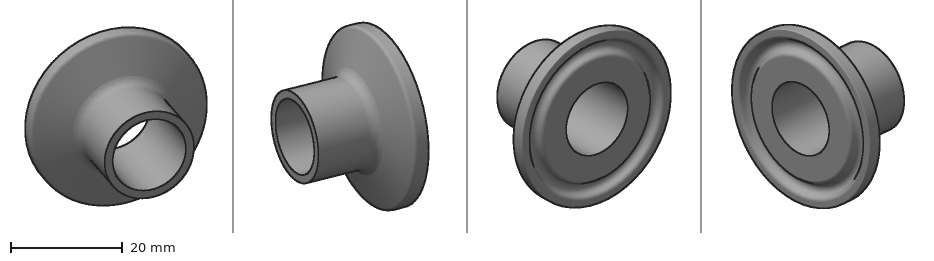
import cadquery as cq
import math

length = 18.0
flange_radius = 17.0
tube_radius = 8.57
bore_radius = 7.0

back_corner_x = 2.82
back_angle = math.radians(20)
rim_front_round = 0.2
rim_back_round = 0.75
neck_round = 1.97

groove_radius = 13.75
groove_half_width = 2.0
lip_round = 0.85
floor_round = 1.12
wall_angle = math.radians(65)


def revolve_about_x(profile):
    return profile.close().revolve(360, (0, 0, 0), (1, 0, 0))


def make_body():
    neck_corner_x = back_corner_x + (flange_radius - tube_radius) * math.tan(back_angle)
    profile = (
        cq.Workplane("XY")
        .moveTo(0, 0)
        .lineTo(0, flange_radius)
        .lineTo(back_corner_x, flange_radius)
        .lineTo(neck_corner_x, tube_radius)
        .lineTo(length, tube_radius)
        .lineTo(length, 0)
    )
    body = revolve_about_x(profile)
    for corner_x, corner_round in (
        (neck_corner_x, neck_round),
        (back_corner_x, rim_back_round),
        (0, rim_front_round),
    ):
        corner = cq.selectors.NearestToPointSelector((corner_x, 0, 0))
        body = body.edges("%CIRCLE").edges(corner).fillet(corner_round)
    return body


def make_groove():
    def lip_point(angle):
        """Depth and inward offset from the groove edge along the lip round."""
        return lip_round * (1 - math.cos(angle)), lip_round * math.sin(angle)

    lip_mid_depth, lip_mid_offset = lip_point(wall_angle / 2)
    lip_end_depth, lip_end_offset = lip_point(wall_angle)
    floor_half_width = floor_round * math.sin(wall_angle)
    wall_width = groove_half_width - lip_end_offset - floor_half_width
    wall_end_depth = lip_end_depth + wall_width * math.tan(wall_angle)
    floor_depth = wall_end_depth + floor_round * (1 - math.cos(wall_angle))

    inner_edge = groove_radius - groove_half_width
    outer_edge = groove_radius + groove_half_width
    profile = (
        cq.Workplane("XY")
        .moveTo(0, inner_edge)
        .threePointArc(
            (lip_mid_depth, inner_edge + lip_mid_offset),
            (lip_end_depth, inner_edge + lip_end_offset),
        )
        .lineTo(wall_end_depth, groove_radius - floor_half_width)
        .threePointArc(
            (floor_depth, groove_radius),
            (wall_end_depth, groove_radius + floor_half_width),
        )
        .lineTo(lip_end_depth, outer_edge - lip_end_offset)
        .threePointArc(
            (lip_mid_depth, outer_edge - lip_mid_offset),
            (0, outer_edge),
        )
    )
    return revolve_about_x(profile)


def make_bore():
    return cq.Workplane("YZ").circle(bore_radius).extrude(length)


result = make_body().cut(make_groove()).cut(make_bore())